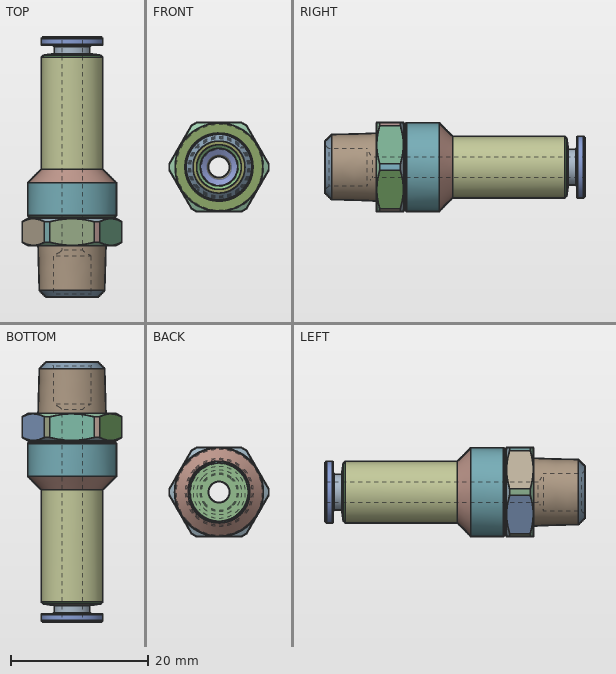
import cadquery as cq
import math

LENGTH = 37.9

SPIGOT_LENGTH = 7.5
SPIGOT_TIP_RADIUS = 4.78
SPIGOT_BASE_RADIUS = 4.95
SPIGOT_CHAMFER = 1.0

NUT_FLATS = 13.0
NUT_CORNER_DIAMETER = 14.5
NUT_FACE_RADIUS = 6.4
NUT_CHAMFER_ANGLE = 30.0
NUT_END = 11.5

COLLAR_RADIUS = 6.48
COLLAR_START = 11.9
COLLAR_CHAMFER = 0.23
COLLAR_END = 16.65
SLEEVE_RADIUS = 4.5
SLEEVE_END = 35.25
SLEEVE_CHAMFER = 0.35
SLEEVE_END_RISE = 0.23

NECK_RADIUS = 2.6
NECK_CHAMFER = 0.2
BUTTON_THICKNESS = 1.2
BUTTON_CHAMFER = 0.25
BUTTON_INNER_CHAMFER = 0.1

MOUTH_RADIUS = 3.25
BORE_RADIUS = 2.73
BORE_DEPTH = 6.05
THROAT_RADIUS = 1.8
PASSAGE_RADIUS = 1.5
DRILL_HALF_ANGLE = 60.0


def revolve_about_y(profile):
    """Revolve closed (radius, y) points around the Y axis."""
    return cq.Workplane("XY").polyline(profile).close().revolve(360, (0, 0, 0), (0, 1, 0))


def make_body():
    """Spigot, collar, sleeve and release button as one turned shape."""
    collar_edge = COLLAR_RADIUS - COLLAR_CHAMFER
    cone_end = COLLAR_END + COLLAR_RADIUS - SLEEVE_RADIUS
    button_start = LENGTH - BUTTON_THICKNESS
    return revolve_about_y([
        (0, 0),
        (SPIGOT_TIP_RADIUS - SPIGOT_CHAMFER, 0),
        (SPIGOT_TIP_RADIUS, SPIGOT_CHAMFER),
        (SPIGOT_BASE_RADIUS, SPIGOT_LENGTH),
        (collar_edge, SPIGOT_LENGTH),
        (collar_edge, COLLAR_START - COLLAR_CHAMFER),
        (COLLAR_RADIUS, COLLAR_START),
        (COLLAR_RADIUS, COLLAR_END),
        (SLEEVE_RADIUS, cone_end),
        (SLEEVE_RADIUS, SLEEVE_END - SLEEVE_CHAMFER),
        (SLEEVE_RADIUS - SLEEVE_CHAMFER, SLEEVE_END),
        (NECK_RADIUS, SLEEVE_END + SLEEVE_END_RISE),
        (NECK_RADIUS, button_start - NECK_CHAMFER),
        (NECK_RADIUS + NECK_CHAMFER, button_start),
        (SLEEVE_RADIUS - BUTTON_INNER_CHAMFER, button_start),
        (SLEEVE_RADIUS, button_start + BUTTON_INNER_CHAMFER),
        (SLEEVE_RADIUS, LENGTH - BUTTON_CHAMFER),
        (SLEEVE_RADIUS - BUTTON_CHAMFER, LENGTH),
        (0, LENGTH),
    ])


def make_nut():
    """Hexagon with flats up and down, trimmed at its corners and chamfered on both faces."""
    hexagon = (
        cq.Workplane("XZ", origin=(0, SPIGOT_LENGTH, 0))
        .polygon(6, NUT_FLATS / math.cos(math.pi / 6))
        .extrude(SPIGOT_LENGTH - NUT_END)
    )
    corner_radius = NUT_CORNER_DIAMETER / 2
    chamfer = (corner_radius - NUT_FACE_RADIUS) * math.tan(math.radians(NUT_CHAMFER_ANGLE))
    envelope = revolve_about_y([
        (0, SPIGOT_LENGTH),
        (NUT_FACE_RADIUS, SPIGOT_LENGTH),
        (corner_radius, SPIGOT_LENGTH + chamfer),
        (corner_radius, NUT_END - chamfer),
        (NUT_FACE_RADIUS, NUT_END),
        (0, NUT_END),
    ])
    return hexagon.intersect(envelope)


def make_passage():
    """Chamfered bore with a conical bottom, then a 45 degree throat into the through passage."""
    mouth_depth = MOUTH_RADIUS - BORE_RADIUS
    cone_depth = (BORE_RADIUS - THROAT_RADIUS) / math.tan(math.radians(DRILL_HALF_ANGLE))
    throat_depth = BORE_DEPTH + cone_depth
    return revolve_about_y([
        (0, 0),
        (MOUTH_RADIUS, 0),
        (BORE_RADIUS, mouth_depth),
        (BORE_RADIUS, BORE_DEPTH),
        (THROAT_RADIUS, throat_depth),
        (PASSAGE_RADIUS, throat_depth + THROAT_RADIUS - PASSAGE_RADIUS),
        (PASSAGE_RADIUS, LENGTH),
        (0, LENGTH),
    ])


result = make_body().union(make_nut()).cut(make_passage())